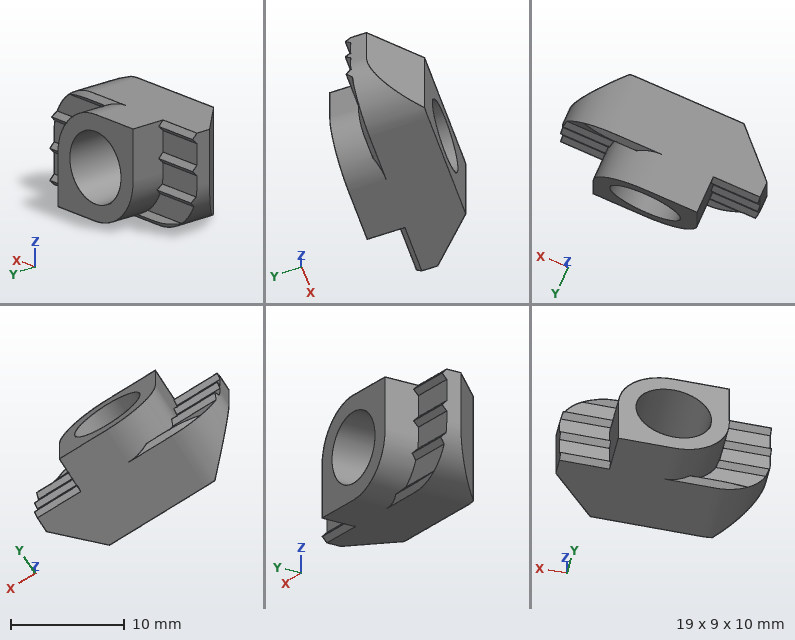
import cadquery as cq
import math

length = 19.0
height = 10.0
flange_face = 5.5
neck_end = 9.0
corner_radius = height / 2
arc_middle = corner_radius * math.sqrt(0.5)

chamfer = 4.0
hole_diameter = 6.8
ridge_height = 0.5
ridge_width = 2 * ridge_height
ridge_count = 4
ridge_pitch = (height - ridge_width) / (ridge_count - 1)


def rounded_block(width, depth):
    """Block from Y = 0 with its upper right and lower left corners rounded."""
    half_width = width / 2
    half_height = height / 2
    arc_x = half_width - corner_radius
    return (
        cq.Workplane("XZ")
        .moveTo(-half_width, half_height)
        .lineTo(arc_x, half_height)
        .threePointArc((arc_x + arc_middle, arc_middle), (half_width, 0))
        .lineTo(half_width, -half_height)
        .lineTo(-arc_x, -half_height)
        .threePointArc((-arc_x - arc_middle, -arc_middle), (-half_width, 0))
        .close()
        .extrude(-depth)
    )


def ridge(z):
    """Triangular gripping ridge on the flange face, running the full length along X."""
    return (
        cq.Workplane("YZ", origin=(-length / 2, 0, z))
        .moveTo(flange_face, -ridge_width / 2)
        .lineTo(flange_face + ridge_height, 0)
        .lineTo(flange_face, ridge_width / 2)
        .close()
        .extrude(length)
    )


def edge_ridge():
    """Top ridge, whose outer slope follows the rounded corner as a 45 degree cone."""
    half_length = length / 2
    half_height = height / 2
    arc_x = half_length - corner_radius
    sloped_slab = (
        cq.Workplane("XZ", origin=(0, flange_face, 0))
        .moveTo(-length, half_height)
        .lineTo(arc_x, half_height)
        .threePointArc((arc_x + arc_middle, arc_middle), (half_length, 0))
        .lineTo(half_length, -height)
        .lineTo(-length, -height)
        .close()
        .extrude(-ridge_height, taper=45)
    )
    return ridge(half_height - ridge_width / 2).intersect(sloped_slab)


def end_profile():
    """Plan shape with both ends chamfered, extruded over the full height."""
    end = length / 2
    return (
        cq.Workplane("XY", origin=(0, 0, -height / 2))
        .polyline([
            (chamfer - end, 0),
            (end - chamfer, 0),
            (end, chamfer),
            (end, neck_end),
            (-end, neck_end),
            (-end, chamfer),
        ])
        .close()
        .extrude(height)
    )


flange = rounded_block(length, flange_face)
outline = rounded_block(length, neck_end)
lowest_ridge = (ridge_width - height) / 2
for index in range(1, ridge_count - 1):
    inner_ridge = ridge(lowest_ridge + index * ridge_pitch).intersect(outline)
    flange = flange.union(inner_ridge)

top_ridge = edge_ridge()
bottom_ridge = top_ridge.rotate((0, 0, 0), (0, 1, 0), 180)
flange = flange.union(top_ridge).union(bottom_ridge)

neck = rounded_block(height, neck_end)
hole = cq.Workplane("XZ").circle(hole_diameter / 2).extrude(-neck_end)
result = flange.union(neck).intersect(end_profile()).cut(hole)